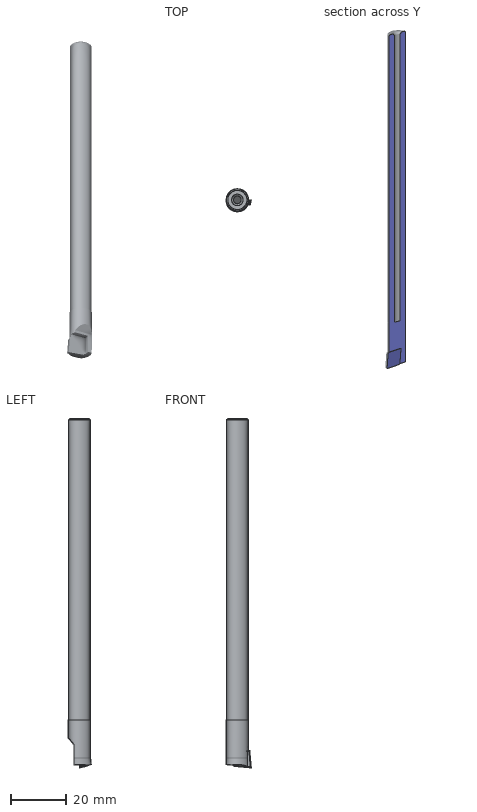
import cadquery as cq
import math

total_length = 126.2
shank_diameter = 8.0
head_diameter = 8.1
head_top = 17.3
top_chamfer = 0.5

bore_diameter = 2.8
countersink_diameter = 4.2
countersink_depth = 0.9
bore_depth = total_length - head_top

flare_start = 3.7
flare_offset = 0.4
nose_clearance = 0.4
relief_angle = 20.0

flat_y = 2.0
flat_top = 8.5
runout_top = 10.9
gullet_left = -1.9
gullet_top = 7.6

tip_x = 5.0
insert_side = 6.3
insert_thickness = 1.83
insert_clearance = 11.0
lead_angle = 5.0

head_radius = head_diameter / 2
clear = 2 * head_diameter


def make_insert():
    """Rhombic insert whose flanks lean inward away from the rake face."""
    long_step = insert_side * math.cos(math.radians(lead_angle))
    short_step = insert_side * math.sin(math.radians(lead_angle))
    corners = [
        (tip_x, 0),
        (tip_x - short_step, long_step),
        (tip_x - short_step - long_step, long_step + short_step),
        (tip_x - long_step, short_step),
    ]
    return cq.Workplane("XZ").polyline(corners).close().extrude(insert_thickness, taper=insert_clearance)


def make_shank():
    """Round shank with a chamfered end and a countersunk blind bore."""
    shank = (
        cq.Workplane("XY", origin=(0, 0, head_top))
        .circle(shank_diameter / 2)
        .extrude(total_length - head_top)
        .faces(">Z").chamfer(top_chamfer)
    )
    bore = (
        cq.Workplane("XY", origin=(0, 0, total_length))
        .circle(bore_diameter / 2)
        .extrude(-bore_depth)
    )
    countersink = (
        cq.Workplane("XY", origin=(0, 0, total_length))
        .circle(countersink_diameter / 2)
        .workplane(offset=-countersink_depth)
        .circle(bore_diameter / 2)
        .loft()
    )
    return shank.cut(bore).cut(countersink)


def make_head_blank():
    """Cylinder above the flare start, and an oblique flare below it."""
    cylinder = (
        cq.Workplane("XY", origin=(0, 0, flare_start))
        .circle(head_radius)
        .extrude(head_top - flare_start)
    )
    flare = (
        cq.Workplane("XY", origin=(0, 0, flare_start))
        .circle(head_radius)
        .workplane(offset=-flare_start)
        .center(0, -flare_offset)
        .circle(head_radius)
        .loft()
    )
    return cylinder.union(flare)


def end_face_cut():
    """Wedge below the head, giving an end face that rises towards -X."""
    rise = math.tan(math.radians(lead_angle))
    right_z = nose_clearance + (tip_x - clear) * rise
    left_z = nose_clearance + (tip_x + clear) * rise
    return (
        cq.Workplane("XZ")
        .polyline([(clear, -clear), (clear, right_z), (-clear, left_z), (-clear, -clear)])
        .close()
        .extrude(clear, both=True)
    )


def end_relief_cut():
    """Wedge giving the end face a steeper slope behind the insert, towards -Y."""
    reach = clear - insert_thickness
    relief_height = nose_clearance + reach * math.tan(math.radians(relief_angle))
    return (
        cq.Workplane("YZ")
        .polyline([(-insert_thickness, nose_clearance), (-clear, relief_height), (-clear, nose_clearance)])
        .close()
        .extrude(clear, both=True)
    )


def chip_flat_cut():
    """Flat across the +Y side with a sloped runout at its top."""
    return (
        cq.Workplane("YZ")
        .polyline([
            (flat_y, -clear),
            (flat_y, flat_top),
            (head_radius, runout_top),
            (clear, runout_top),
            (clear, -clear),
        ])
        .close()
        .extrude(clear, both=True)
    )


def gullet_cut():
    """Clearance in front of the rake face."""
    return (
        cq.Workplane("XY")
        .box(clear, clear, gullet_top, centered=False)
        .translate((gullet_left, 0, 0))
    )


insert = make_insert()

head = make_head_blank()
for cutter in (end_face_cut(), end_relief_cut(), chip_flat_cut(), gullet_cut()):
    head = head.cut(cutter)

bar = make_shank().union(head).cut(insert)

result = cq.Compound.makeCompound([bar.solids().val(), insert.val()])